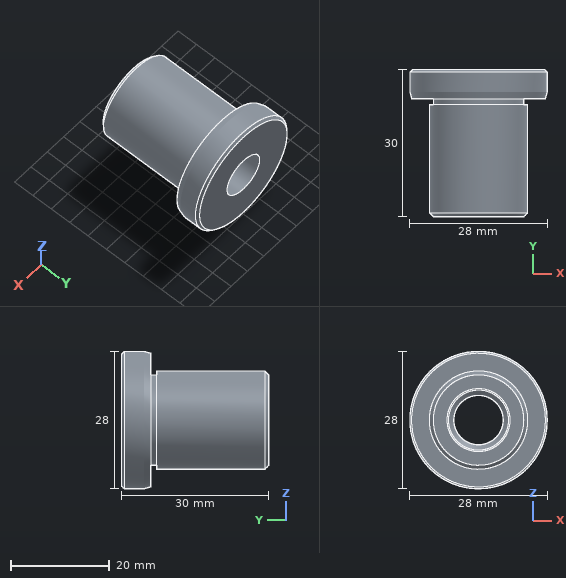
import cadquery as cq

length = 30.0
flange_diameter = 28.0
flange_thickness = 6.0
body_diameter = 20.0
relief_diameter = 18.4
relief_width = 1.2
bore_diameter = 12.2
mouth_diameter = 12.8
mouth_depth = 0.3
throat_diameter = 10.0
throat_length = 6.0
throat_cone_length = 0.7

body_chamfer_radial = 0.8
body_chamfer_axial = 0.8
flange_bevel_radial = 0.4
flange_bevel_axial = 1.38
flange_edge_chamfer = 0.6

front = -length / 2
back = length / 2
flange_front = back - flange_thickness
relief_front = flange_front - relief_width
throat_front = back - throat_length

flange_radius = flange_diameter / 2
body_radius = body_diameter / 2
relief_radius = relief_diameter / 2
bore_radius = bore_diameter / 2
mouth_radius = mouth_diameter / 2
throat_radius = throat_diameter / 2


def revolve_about_y(profile):
    return profile.close().revolve(360, (0, 0, 0), (0, 1, 0))


def make_outside():
    """Solid body with relief groove and a flange bevelled on both rims."""
    profile = (
        cq.Workplane("XY")
        .moveTo(0, front)
        .lineTo(body_radius - body_chamfer_radial, front)
        .lineTo(body_radius, front + body_chamfer_axial)
        .lineTo(body_radius, relief_front)
        .lineTo(relief_radius, relief_front)
        .lineTo(relief_radius, flange_front)
        .lineTo(flange_radius - flange_bevel_radial, flange_front)
        .lineTo(flange_radius, flange_front + flange_bevel_axial)
        .lineTo(flange_radius, back)
        .lineTo(0, back)
    )
    return revolve_about_y(profile).faces(">Y").edges().chamfer(flange_edge_chamfer)


def make_bore():
    """Bore with a countersunk mouth, tapering into a narrower throat."""
    profile = (
        cq.Workplane("XY")
        .moveTo(0, front)
        .lineTo(mouth_radius, front)
        .lineTo(bore_radius, front + mouth_depth)
        .lineTo(bore_radius, throat_front - throat_cone_length)
        .lineTo(throat_radius, throat_front)
        .lineTo(throat_radius, back)
        .lineTo(0, back)
    )
    return revolve_about_y(profile)


result = make_outside().cut(make_bore())